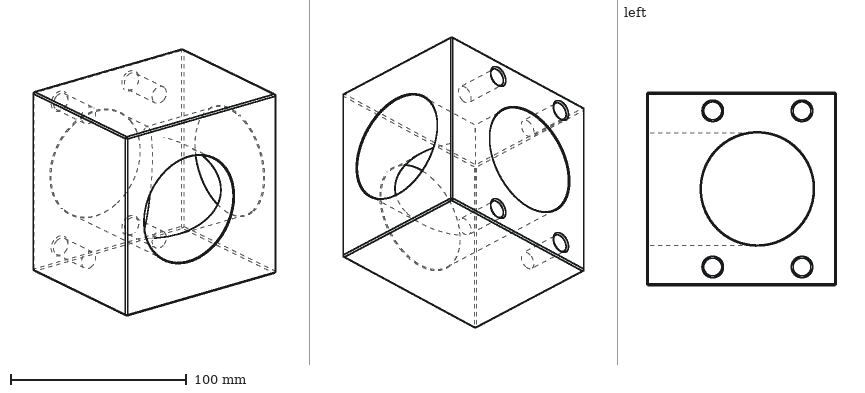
import cadquery as cq
import math

length_x = 88.0
width_y = 108.0
height_z = 110.0
edge_chamfer = 1.0

bore_diameter = 64.0
bore_mouth_chamfer = 0.5
bore_axis_y = -9.0

bolt_diameter = 10.2
bolt_mouth_diameter = 12.2
bolt_spacing_y = 50.8
bolt_spacing_z = 88.9
bolt_depth = 27.0
drill_point_angle = 118.0


def make_block():
    """Rectangular block with every outer edge chamfered."""
    return cq.Workplane("XY").box(length_x, width_y, height_z).edges().chamfer(edge_chamfer)


def bore_branch(length):
    """Bore along +X from the origin, widening to a chamfered mouth at the given length."""
    radius = bore_diameter / 2
    profile = (
        cq.Workplane("XY")
        .lineTo(0, radius)
        .lineTo(length - bore_mouth_chamfer, radius)
        .lineTo(length, radius + bore_mouth_chamfer)
        .lineTo(length, 0)
        .close()
    )
    return profile.revolve(360, (0, 0, 0), (1, 0, 0))


def cut_bores(block):
    """Cut the branches towards +X, +Y and -X, which meet in the middle of the through bore."""
    branches = (
        (0, length_x / 2),
        (90, width_y / 2 - bore_axis_y),
        (180, length_x / 2),
    )
    for angle, length in branches:
        branch = bore_branch(length).rotate((0, 0, 0), (0, 0, 1), angle)
        block = block.cut(branch.translate((0, bore_axis_y, 0)))
    return block


def bolt_hole():
    """Blind hole along +X from the -X face: chamfered mouth, straight wall, conical drill point."""
    radius = bolt_diameter / 2
    mouth_radius = bolt_mouth_diameter / 2
    mouth_depth = mouth_radius - radius
    point_depth = radius / math.tan(math.radians(drill_point_angle / 2))
    profile = (
        cq.Workplane("XY")
        .lineTo(0, mouth_radius)
        .lineTo(mouth_depth, radius)
        .lineTo(bolt_depth, radius)
        .lineTo(bolt_depth + point_depth, 0)
        .close()
    )
    return profile.revolve(360, (0, 0, 0), (1, 0, 0))


def cut_bolt_holes(block):
    """Cut the four bolt holes at the corners of their rectangle."""
    for side_y in (-1, 1):
        for side_z in (-1, 1):
            hole_y = bore_axis_y + side_y * bolt_spacing_y / 2
            hole_z = side_z * bolt_spacing_z / 2
            block = block.cut(bolt_hole().translate((-length_x / 2, hole_y, hole_z)))
    return block


result = cut_bolt_holes(cut_bores(make_block()))